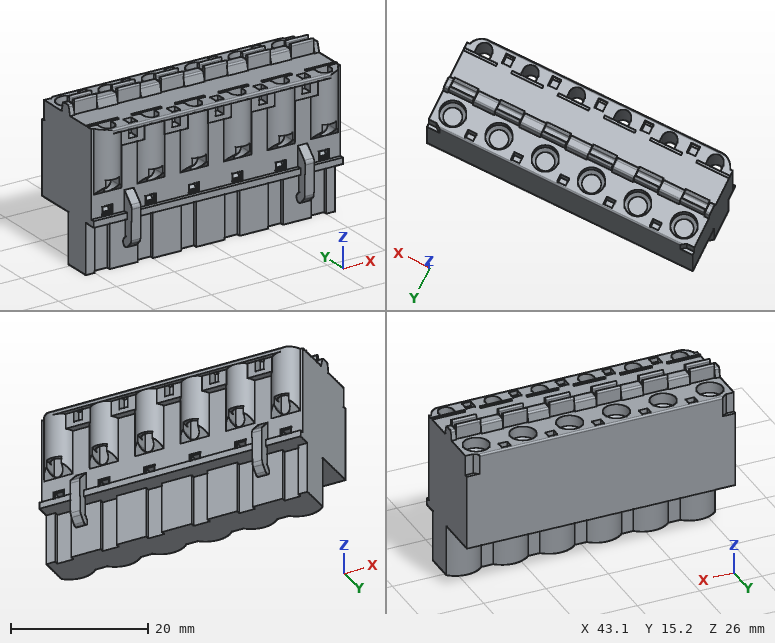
import cadquery as cq
import math


POLES = 6
PITCH = 7.5
WIDTH = 43.1
POLE_X = [PITCH * (i - (POLES - 1) / 2) for i in range(POLES)]
GAP_X = [x + PITCH / 2 for x in POLE_X[:-1]]
ROW_SPAN = POLE_X[-1] - POLE_X[0]

DEPTH = 13.25
HEIGHT = 15.4
BACK_EDGE_RADIUS = 0.26
LEDGE_DEPTH = 0.7
LEDGE_HEIGHT = 1.05
PLUG_FRONT = 1.43
PLUG_BACK = 7.3
PLUG_HEIGHT = 8.3
LOBE_HEIGHT = 1.12
LOBE_HALF_WIDTH = WIDTH / 2 - POLE_X[-1]
KEYWAY_WIDTH = 2.6
KEYWAY_DEPTH = 0.65

RELIEF_LENGTH = 1.25
RELIEF_DEPTH = 0.54
RELIEF_RUNOUT = 0.8
RELIEF_HEIGHT = 3.25

BARREL_RADIUS = 2.5
BARREL_CENTRE_Y = 0.8
BARREL_FRONT = BARREL_CENTRE_Y - BARREL_RADIUS
BARREL_BOTTOM = 4.88

RAIL_HEIGHT = 0.75
RAIL_EDGE_RADIUS = 0.26
BLOCK_FRONT = -1.05
BLOCK_WIDTH = 4.04
BLOCK_HEIGHT = 3.25

SOCKET_WIDTH = 1.4
SOCKET_DEPTH = 2.45
FRONT_SOCKET_BACK = 0.5
REAR_SOCKET_FRONT = 11.55
REAR_SOCKET_BACK = 12.75

SLOT_RADIUS = 1.2
SLOT_BACK = 0.9
WINDOW_TOP = 7.4
WINDOW_ARC_Z = 6.13
RIDGE_LENGTH = 5.04
RIDGE_DEPTH = 0.4
RIDGE_HEIGHT = 0.13

BORE_Y = 10.44
BORE_RADIUS = 2.0
BORE_DEPTH = 1.75
SEAT_RADIUS = 1.4
SEAT_DEPTH = BORE_RADIUS - SEAT_RADIUS

BAR_FRONT = 5.68
BAR_BACK = 7.95
BAR_TOP_FRONT = 6.12
BAR_TOP_BACK = 7.65
BAR_HEIGHT = 1.56
BAR_EDGE_RADIUS = 0.3
BAR_GAP = 4.04
TAB_WIDTH = 3.9
TAB_FRONT = 5.84
TAB_BACK = 7.79
TAB_HEIGHT = 2.3
PRONG_WIDTH = 0.52
PRONG_TIP_RADIUS = 0.25
FORK_ROOT_RADIUS = 0.15

POCKET_BOTTOM = 1.3
POCKET_TOP = 2.6
POCKET_WIDTH = 1.82
POCKET_DEPTH = 0.25
INNER_WIDTH = 1.3
INNER_DEPTH = 0.25
INNER_TOP = 2.45
SILL_HEIGHT = 0.27

LATCH_WIDTH = 1.6
LATCH_TOP = 4.4
LATCH_FRONT = -1.95
LATCH_LOWER_FRONT = -1.83
LATCH_INNER = -0.26
LATCH_BEND_RADIUS = 0.9
BEND_MARGIN = 0.1
HOOK_RADIUS = 0.7
HOOK_Y = -0.3
HOOK_Z = -3.85


def box(x_centre, x_size, y_min, y_max, z_min, z_max):
    """Box centred on x_centre, given by its Y and Z limits."""
    size_y = y_max - y_min
    size_z = z_max - z_min
    centre = (x_centre, (y_min + y_max) / 2, (z_min + z_max) / 2)
    return cq.Workplane("XY").box(x_size, size_y, size_z).translate(centre)


def extrude_along_x(outline, x_centre, length):
    """Extrude a YZ outline by length, centred on x_centre."""
    return outline.extrude(length / 2, both=True).translate((x_centre, 0, 0))


def housing():
    body = box(0, WIDTH, 0, DEPTH, 0, HEIGHT)
    body = body.edges(">Y and >Z").fillet(BACK_EDGE_RADIUS)
    return body.union(box(0, WIDTH, -LEDGE_DEPTH, PLUG_FRONT, 0, LEDGE_HEIGHT))


def corner_relief(side):
    """Cutter for one upper back corner; side is -1 or 1. Its inner end is a ramp."""
    end_x = side * WIDTH / 2
    floor_x = end_x - side * RELIEF_LENGTH
    return (
        cq.Workplane("XY", origin=(0, 0, HEIGHT - RELIEF_HEIGHT))
        .moveTo(end_x, DEPTH)
        .lineTo(end_x, DEPTH - RELIEF_DEPTH)
        .lineTo(floor_x, DEPTH - RELIEF_DEPTH)
        .lineTo(floor_x - side * RELIEF_RUNOUT, DEPTH)
        .close()
        .extrude(RELIEF_HEIGHT)
    )


def plug():
    """Plug body with a keyway in front of each pole and a shallow rounded lobe behind it."""
    lobe_y = PLUG_BACK - LOBE_HEIGHT
    body = box(0, WIDTH, PLUG_FRONT, lobe_y, -PLUG_HEIGHT, 0)
    for x in POLE_X:
        lobe = (
            cq.Workplane("XY", origin=(x, lobe_y, -PLUG_HEIGHT))
            .moveTo(-LOBE_HALF_WIDTH, 0)
            .threePointArc((0, LOBE_HEIGHT), (LOBE_HALF_WIDTH, 0))
            .close()
            .extrude(PLUG_HEIGHT)
        )
        body = body.union(lobe)
        body = body.cut(box(x, KEYWAY_WIDTH, PLUG_FRONT, PLUG_FRONT + KEYWAY_DEPTH, -PLUG_HEIGHT, 0))
    return body


def barrel(x):
    body = (
        cq.Workplane("XY")
        .center(x, BARREL_CENTRE_Y)
        .circle(BARREL_RADIUS)
        .extrude(HEIGHT)
    )
    keep = (
        cq.Workplane("YZ")
        .moveTo(BARREL_CENTRE_Y, BARREL_BOTTOM)
        .lineTo(0, BARREL_BOTTOM)
        .lineTo(BARREL_FRONT, BARREL_BOTTOM - BARREL_FRONT)
        .lineTo(BARREL_FRONT, HEIGHT)
        .lineTo(BARREL_CENTRE_Y, HEIGHT)
        .close()
    )
    return body.intersect(extrude_along_x(keep, x, 2 * BARREL_RADIUS))


def rail():
    return box(0, ROW_SPAN, BARREL_FRONT, 0, HEIGHT - RAIL_HEIGHT, HEIGHT)


def bridge_block(x):
    return box(x, BLOCK_WIDTH, BLOCK_FRONT, 0, HEIGHT - BLOCK_HEIGHT, HEIGHT)


def rail_edge_cutter():
    """Material to remove to round the upper front edge of the rail; it runs out on the end barrels."""
    r = RAIL_EDGE_RADIUS
    length = ROW_SPAN + 2 * BARREL_RADIUS
    strip = box(0, length, BARREL_FRONT, BARREL_FRONT + r, HEIGHT - r, HEIGHT)
    rounding = cq.Workplane("YZ").center(BARREL_FRONT + r, HEIGHT - r).circle(r)
    return strip.cut(extrude_along_x(rounding, 0, length))


def socket(x, y_min, y_max):
    return box(x, SOCKET_WIDTH, y_min, y_max, HEIGHT - SOCKET_DEPTH, HEIGHT)


def test_slot(x):
    """D-shaped slot from the top face, meeting a round-bottomed window in the barrel front."""
    slot = (
        cq.Workplane("XY", origin=(0, 0, WINDOW_ARC_Z))
        .moveTo(x - SLOT_RADIUS, SLOT_BACK)
        .lineTo(x - SLOT_RADIUS, 0)
        .threePointArc((x, -SLOT_RADIUS), (x + SLOT_RADIUS, 0))
        .lineTo(x + SLOT_RADIUS, SLOT_BACK)
        .close()
        .extrude(HEIGHT - WINDOW_ARC_Z)
    )
    window = (
        cq.Workplane("XZ", origin=(0, SLOT_BACK, 0))
        .moveTo(x - SLOT_RADIUS, WINDOW_TOP)
        .lineTo(x - SLOT_RADIUS, WINDOW_ARC_Z)
        .threePointArc((x, WINDOW_ARC_Z - SLOT_RADIUS), (x + SLOT_RADIUS, WINDOW_ARC_Z))
        .lineTo(x + SLOT_RADIUS, WINDOW_TOP)
        .close()
        .extrude(SLOT_BACK - BARREL_FRONT)
    )
    return slot.union(window)


def ridge(x):
    """Low ridge behind a test slot; the outermost ridges run out to the housing side."""
    x_min = x - RIDGE_LENGTH / 2
    x_max = x + RIDGE_LENGTH / 2
    if x == POLE_X[0]:
        x_min = -WIDTH / 2
    if x == POLE_X[-1]:
        x_max = WIDTH / 2
    centre = (x_min + x_max) / 2
    return box(centre, x_max - x_min, SLOT_BACK, SLOT_BACK + RIDGE_DEPTH, HEIGHT, HEIGHT + RIDGE_HEIGHT)


def screw_bore(x):
    seat_z = HEIGHT - BORE_DEPTH
    return (
        cq.Workplane("XZ")
        .moveTo(0, HEIGHT)
        .lineTo(BORE_RADIUS, HEIGHT)
        .lineTo(BORE_RADIUS, seat_z)
        .lineTo(SEAT_RADIUS, seat_z - SEAT_DEPTH)
        .lineTo(0, seat_z - SEAT_DEPTH)
        .close()
        .revolve(360, (0, 0, 0), (0, 1, 0))
        .translate((x, BORE_Y, 0))
    )


def marking_bar():
    outline = (
        cq.Workplane("YZ")
        .moveTo(BAR_FRONT, HEIGHT)
        .lineTo(BAR_TOP_FRONT, HEIGHT + BAR_HEIGHT)
        .lineTo(BAR_TOP_BACK, HEIGHT + BAR_HEIGHT)
        .lineTo(BAR_BACK, HEIGHT)
        .close()
    )
    bar = extrude_along_x(outline, 0, WIDTH).edges("|X and >Z").fillet(BAR_EDGE_RADIUS)
    for x in POLE_X:
        bar = bar.cut(box(x, BAR_GAP, BAR_FRONT, BAR_BACK, HEIGHT, HEIGHT + BAR_HEIGHT))
    return bar


def forked_tab(x):
    tip_z = HEIGHT + TAB_HEIGHT
    root_z = HEIGHT + BAR_HEIGHT
    fork = box(
        x, TAB_WIDTH, TAB_FRONT + PRONG_WIDTH, TAB_BACK - PRONG_WIDTH, root_z, tip_z + PRONG_WIDTH
    )
    fork = fork.edges("|X and <Z").fillet(FORK_ROOT_RADIUS)
    tab = box(x, TAB_WIDTH, TAB_FRONT, TAB_BACK, HEIGHT, tip_z).cut(fork)
    return tab.edges("|X and >Z").fillet(PRONG_TIP_RADIUS)


def pocket(x):
    """Shallow pocket with a narrower inner recess whose floor rises at 45 degrees."""
    outer = box(x, POCKET_WIDTH, 0, POCKET_DEPTH, POCKET_BOTTOM, POCKET_TOP)
    sill_y = POCKET_DEPTH + INNER_DEPTH
    sill_z = POCKET_BOTTOM + SILL_HEIGHT
    inner = (
        cq.Workplane("YZ")
        .moveTo(0, POCKET_BOTTOM)
        .lineTo(sill_y, POCKET_BOTTOM)
        .lineTo(sill_y, sill_z)
        .lineTo(sill_y + INNER_TOP - sill_z, INNER_TOP)
        .lineTo(0, INNER_TOP)
        .close()
    )
    return outer.union(extrude_along_x(inner, x, INNER_WIDTH))


def latch(x):
    """Latch arm with 45 degree ends and a round hook turned towards the plug."""
    diagonal = HOOK_RADIUS * math.sqrt(0.5)
    outer_tangent = (HOOK_Y - diagonal, HOOK_Z - diagonal)
    inner_tangent = (HOOK_Y + diagonal, HOOK_Z + diagonal)
    tip = (HOOK_Y + diagonal, HOOK_Z - diagonal)
    upper_bend_z = LATCH_TOP + LATCH_FRONT
    lower_bend_z = outer_tangent[1] + outer_tangent[0] - LATCH_LOWER_FRONT
    throat_z = inner_tangent[1] + inner_tangent[0] - LATCH_INNER
    outline = (
        cq.Workplane("YZ")
        .moveTo(0, LATCH_TOP)
        .lineTo(LATCH_FRONT, upper_bend_z)
        .lineTo(LATCH_LOWER_FRONT, lower_bend_z)
        .lineTo(*outer_tangent)
        .threePointArc(tip, inner_tangent)
        .lineTo(LATCH_INNER, throat_z)
        .lineTo(LATCH_INNER, 0)
        .lineTo(0, 0)
        .close()
    )
    arm = extrude_along_x(outline, x, LATCH_WIDTH)
    bends = cq.selectors.BoxSelector(
        (x - LATCH_WIDTH, LATCH_FRONT - BEND_MARGIN, lower_bend_z - BEND_MARGIN),
        (x + LATCH_WIDTH, LATCH_LOWER_FRONT + BEND_MARGIN, upper_bend_z + BEND_MARGIN),
    )
    return arm.edges("|X").edges(bends).fillet(LATCH_BEND_RADIUS)


result = housing().union(plug())
for side in (-1, 1):
    result = result.cut(corner_relief(side))

result = result.union(rail())
for pole in POLE_X:
    result = result.union(barrel(pole))
for gap in GAP_X:
    result = result.union(bridge_block(gap))
result = result.cut(rail_edge_cutter())
for gap in (GAP_X[0], GAP_X[-1]):
    result = result.union(latch(gap))

for pole in POLE_X:
    result = result.cut(test_slot(pole))
    result = result.cut(screw_bore(pole))
    result = result.cut(pocket(pole))
for gap in GAP_X:
    result = result.cut(socket(gap, BLOCK_FRONT, FRONT_SOCKET_BACK))
    result = result.cut(socket(gap, REAR_SOCKET_FRONT, REAR_SOCKET_BACK))

result = result.union(marking_bar())
for pole in POLE_X:
    result = result.union(ridge(pole))
    result = result.union(forked_tab(pole))